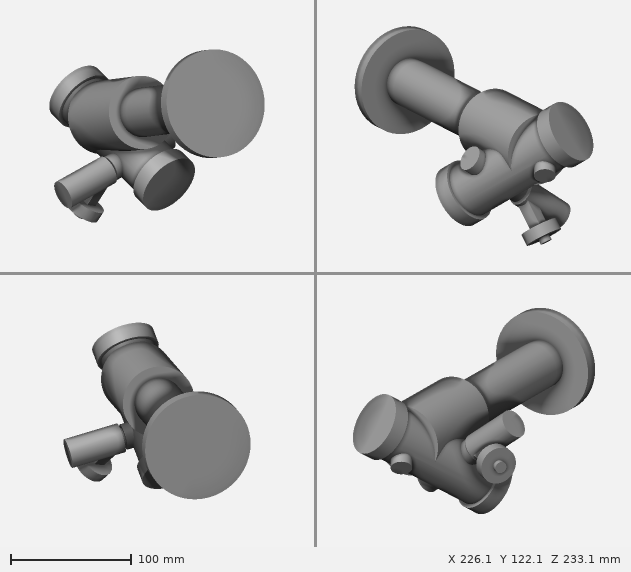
import cadquery as cq
import math

body_diameter = 47.0
body_length = 129.8
end_flange_diameter = 53.8
end_flange_width = 13.5

branch_angle = 45
branch_start_x = 36.1
branch_length = 223.7
bonnet_diameter = 61.0
bonnet_length = 80.0
tube_diameter = 41.0
disc_diameter = 90.0
disc_thickness = 11.2

drain_diameter = 18.0
drain_x = 30.0
drain_depth = 30.8

fitting_x = 86.2
boss_diameter = 22.0
boss_back_y = 31.2
boss_front_y = -28.7
neck_diameter = 16.0
pin_diameter = 25.0
pin_start_y = -30.8
pin_end_y = -77.1

outlet_angle = 50
outlet_length = 42.9
arm_width = 11.0
cap_diameter = 31.7
cap_thickness = 10.0
nipple_diameter = 10.0
nipple_length = 4.5


def cylinder(plane, diameter, start, end):
    """Solid cylinder along the plane normal between two distances."""
    return cq.Workplane(plane).workplane(offset=start).circle(diameter / 2).extrude(end - start)


def valve_body():
    plane = cq.Plane(origin=(0, 0, 0), xDir=(0, 1, 0), normal=(1, 0, 0))
    body = cylinder(plane, body_diameter, 0, body_length)
    for start in (0, body_length - end_flange_width):
        body = body.union(cylinder(plane, end_flange_diameter, start, start + end_flange_width))
    return body


def branch():
    angle = math.radians(branch_angle)
    plane = cq.Plane(
        origin=(branch_start_x, 0, 0),
        xDir=(0, 1, 0),
        normal=(math.cos(angle), 0, math.sin(angle)),
    )
    bonnet = cylinder(plane, bonnet_diameter, 0, bonnet_length)
    tube = cylinder(plane, tube_diameter, 0, branch_length)
    disc = cylinder(plane, disc_diameter, branch_length - disc_thickness, branch_length)
    return bonnet.union(tube).union(disc)


def drain_port():
    plane = cq.Plane(origin=(drain_x, 0, 0), xDir=(1, 0, 0), normal=(0, 0, -1))
    return cylinder(plane, drain_diameter, 0, drain_depth)


def side_fitting():
    plane = cq.Plane(origin=(fitting_x, 0, 0), xDir=(1, 0, 0), normal=(0, 1, 0))
    boss = cylinder(plane, boss_diameter, boss_front_y, boss_back_y)
    neck = cylinder(plane, neck_diameter, pin_start_y, 0)
    pin = cylinder(plane, pin_diameter, pin_end_y, pin_start_y)
    return boss.union(neck).union(pin)


def outlet():
    angle = math.radians(outlet_angle)
    plane = cq.Plane(
        origin=(fitting_x, pin_start_y, 0),
        xDir=(1, 0, 0),
        normal=(0, -math.cos(angle), -math.sin(angle)),
    )
    arm_start = arm_width / 2 * math.tan(angle)
    arm = (
        cq.Workplane(plane)
        .workplane(offset=arm_start)
        .rect(arm_width, arm_width)
        .extrude(outlet_length - arm_start)
    )
    cap = cylinder(plane, cap_diameter, outlet_length - cap_thickness, outlet_length)
    nipple = cylinder(plane, nipple_diameter, outlet_length, outlet_length + nipple_length)
    return arm.union(cap).union(nipple)


result = valve_body().union(branch()).union(drain_port()).union(side_fitting()).union(outlet())